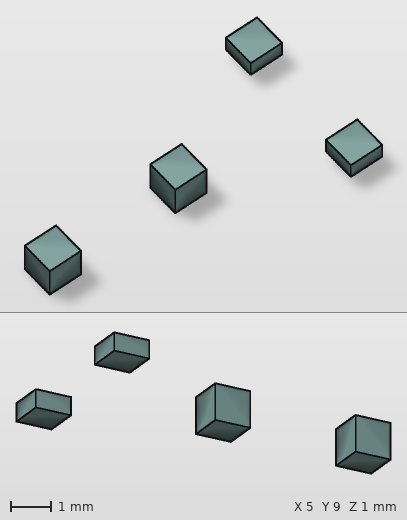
import cadquery as cq

overall_length = 9.0
cells_along_length = 9
cells_between_rows = 4

cube_side = overall_length / cells_along_length
slab_height = cube_side / 2
row_spacing = cells_between_rows * cube_side
slab_spacing = row_spacing


def make_cube(y):
    """Cube on the centre plane X = 0, centred at the given Y."""
    return cq.Workplane("XY").box(cube_side, cube_side, cube_side).translate((0, y, 0))


def make_slab(x):
    """Half-height square slab in the rear row, centred at the given X."""
    return cq.Workplane("XY").box(cube_side, cube_side, slab_height).translate((x, row_spacing, 0))


cubes = [make_cube(y) for y in (-row_spacing, 0)]

slabs = [make_slab(side * slab_spacing / 2) for side in (-1, 1)]

result = cq.Compound.makeCompound([body.val() for body in cubes + slabs])